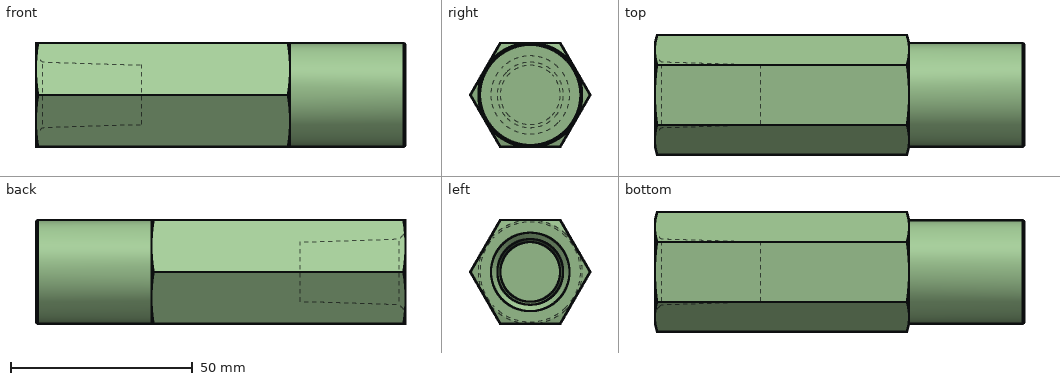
import cadquery as cq
import math

INCH = 25.4
total_length = 4.0 * INCH
hex_length = 2.75 * INCH
across_flats = 1.125 * INCH
across_corners = across_flats / math.cos(math.radians(30))
shank_diameter = across_flats

hex_face_diameter = across_flats
hex_chamfer_angle = 15.0
hex_chamfer_height = (across_corners - hex_face_diameter) / 2
hex_chamfer_length = hex_chamfer_height * math.tan(math.radians(hex_chamfer_angle))

shank_chamfer = 0.5

countersink_diameter = 21.6
bore_start_diameter = 18.1
bore_floor_diameter = 16.4
bore_taper = 1 / 16
countersink_depth = (countersink_diameter - bore_start_diameter) / 2
bore_depth = countersink_depth + (bore_start_diameter - bore_floor_diameter) / bore_taper

x_start = -total_length / 2


def revolve_profile(points):
    """Revolve (distance from hex end, radius) points about the X axis."""
    return (
        cq.Workplane("XY")
        .polyline([(x_start + distance, radius) for distance, radius in points])
        .close()
        .revolve(360, (0, 0, 0), (1, 0, 0))
    )


def hex_body():
    """Hexagonal bar with two flats level, its corners chamfered at both ends."""
    bar = (
        cq.Workplane("YZ")
        .workplane(offset=x_start)
        .polygon(6, across_corners)
        .extrude(hex_length)
    )
    envelope = revolve_profile([
        (0, 0),
        (0, hex_face_diameter / 2),
        (hex_chamfer_length, across_corners / 2),
        (hex_length - hex_chamfer_length, across_corners / 2),
        (hex_length, hex_face_diameter / 2),
        (hex_length, 0),
    ])
    return bar.intersect(envelope)


def shank():
    """Round shank, rooted inside the hexagon so that the two overlap."""
    shank_radius = shank_diameter / 2
    root = hex_length - 2 * hex_chamfer_length
    return revolve_profile([
        (root, 0),
        (root, shank_radius),
        (total_length - shank_chamfer, shank_radius),
        (total_length, shank_radius - shank_chamfer),
        (total_length, 0),
    ])


def bore():
    """Countersunk, tapered bore with a flat floor."""
    return revolve_profile([
        (0, 0),
        (0, countersink_diameter / 2),
        (countersink_depth, bore_start_diameter / 2),
        (bore_depth, bore_floor_diameter / 2),
        (bore_depth, 0),
    ])


result = hex_body().union(shank()).cut(bore())